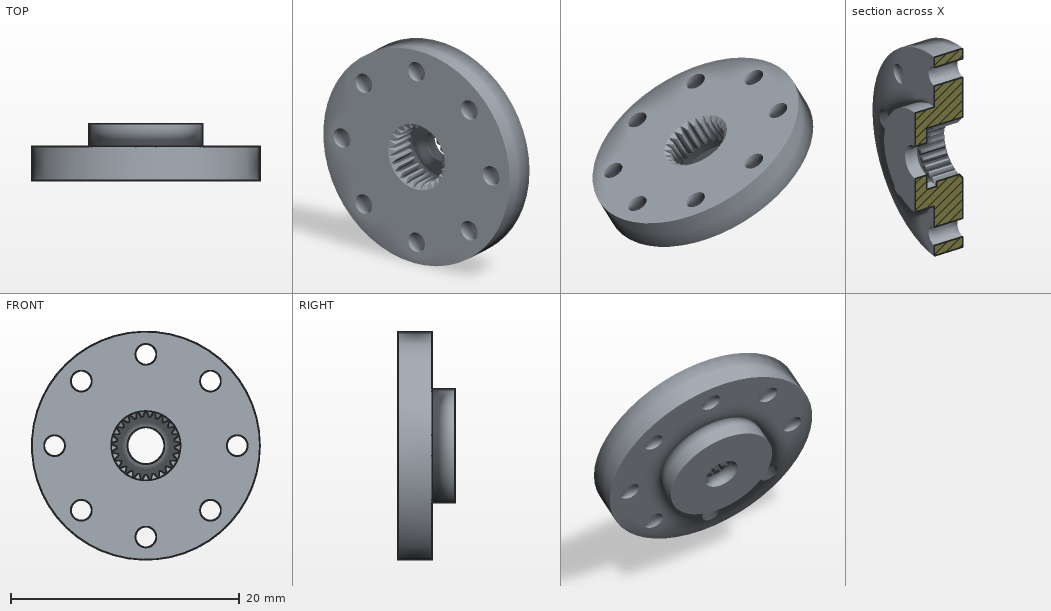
import cadquery as cq
import math

flange_diameter = 20.0
flange_thickness = 3.0
hub_diameter = 10.0
hub_height = 2.0
total_depth = flange_thickness + hub_height

mount_hole_count = 8
mount_hole_diameter = 1.8
mount_circle_radius = 8.0

socket_radius = 3.05
socket_depth = 3.75
screw_hole_diameter = 3.2
tooth_count = 25
tooth_tip_radius = 2.55
tooth_base_width = 0.65
tooth_tip_width = 0.15
tooth_end_depth = 2.75
lead_in_depth = 0.35

tooth_height = socket_radius - tooth_tip_radius


def disc(radius, start, length):
    """Cylinder about the Y axis that begins at Y = start and runs toward +Y."""
    return cq.Workplane("XZ", origin=(0, start, 0)).circle(radius).extrude(-length)


def spline_tooth():
    """Tooth with straight flanks at the bottom of the socket, its foot sunk into the wall."""
    half_base = tooth_base_width / 2
    half_tip = tooth_tip_width / 2
    wall_z = -math.sqrt(socket_radius**2 - half_base**2)
    foot_z = -(socket_radius + tooth_height)
    outline = [
        (-half_base, foot_z),
        (-half_base, wall_z),
        (-half_tip, -tooth_tip_radius),
        (half_tip, -tooth_tip_radius),
        (half_base, wall_z),
        (half_base, foot_z),
    ]
    return cq.Workplane("XZ").polyline(outline).close().extrude(-tooth_end_depth)


def lead_in_cone():
    """Conical entry that bevels the front ends of the teeth."""
    half_profile = [
        (0, 0),
        (socket_radius, 0),
        (tooth_tip_radius, lead_in_depth),
        (0, lead_in_depth),
    ]
    return cq.Workplane("XY").polyline(half_profile).close().revolve(360, (0, 0, 0), (0, 1, 0))


def toothed_socket():
    """Volume removed for the socket: a cylinder less the teeth, plus the conical entry."""
    socket = disc(socket_radius, 0, socket_depth)
    tooth = spline_tooth()
    for index in range(tooth_count):
        angle = index * 360 / tooth_count
        socket = socket.cut(tooth.rotate((0, 0, 0), (0, 1, 0), angle))
    return socket.union(lead_in_cone())


def mount_holes():
    """Through holes evenly spaced around the flange."""
    return (
        cq.Workplane("XZ")
        .polarArray(mount_circle_radius, 0, 360, mount_hole_count)
        .circle(mount_hole_diameter / 2)
        .extrude(-flange_thickness)
    )


body = disc(flange_diameter / 2, 0, flange_thickness)
body = body.union(disc(hub_diameter / 2, flange_thickness, hub_height))
body = body.cut(mount_holes())
body = body.cut(toothed_socket())
result = body.cut(disc(screw_hole_diameter / 2, 0, total_depth))